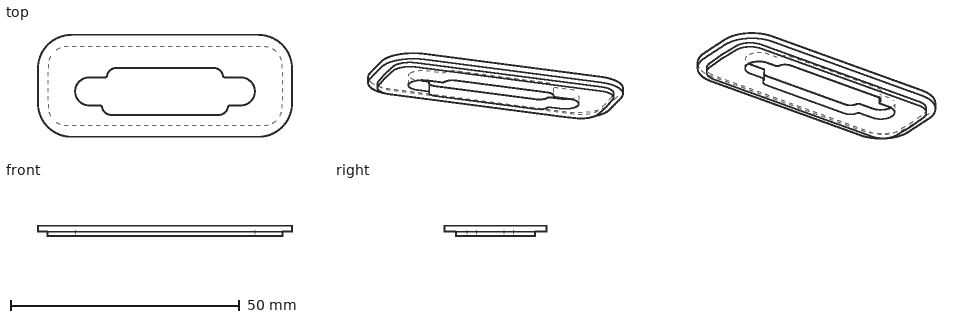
import cadquery as cq
import math

plate_length = 55.55
plate_width = 22.3
plate_thickness = 1.35
plate_corner_radius = 7.4

lip_length = 51.3
lip_width = 17.3
lip_height = 1.0
lip_corner_radius = 4.0
lip_tip_width = 0.5
lip_end_slope = 2.3

window_center_y = -1.2
slot_length = 39.2
slot_width = 6.05
shell_top_width = 24.65
shell_height = 10.2
shell_side_slope = 10.0
shell_corner_radius = 2.0
junction_radius = 0.5

total_height = lip_height + plate_thickness


def make_plate():
    return (
        cq.Workplane("XY")
        .workplane(offset=lip_height)
        .rect(plate_length, plate_width)
        .extrude(plate_thickness)
        .edges("|Z")
        .fillet(plate_corner_radius)
    )


def make_lip():
    tip_x = lip_length / 2
    tip_y = lip_tip_width / 2
    corner_y = lip_width / 2
    corner_x = tip_x - (corner_y - tip_y) * math.tan(math.radians(lip_end_slope))
    outline = [
        (-corner_x, -corner_y),
        (corner_x, -corner_y),
        (tip_x, -tip_y),
        (tip_x, tip_y),
        (corner_x, corner_y),
        (-corner_x, corner_y),
        (-tip_x, tip_y),
        (-tip_x, -tip_y),
    ]
    lip = cq.Workplane("XY").polyline(outline).close().extrude(lip_height)
    return lip.faces("<Y or >Y").edges("|Z").fillet(lip_corner_radius)


def make_window():
    """D-shaped opening, wider at the bottom, crossed by a longer round-ended slot."""
    slope = math.tan(math.radians(shell_side_slope))
    top_x = shell_top_width / 2
    bottom_x = top_x + shell_height * slope
    half_height = shell_height / 2
    base = cq.Workplane("XY").center(0, window_center_y)
    shell = (
        base.polyline(
            [
                (-bottom_x, -half_height),
                (bottom_x, -half_height),
                (top_x, half_height),
                (-top_x, half_height),
            ]
        )
        .close()
        .extrude(total_height)
        .edges("|Z")
        .fillet(shell_corner_radius)
    )
    slot = base.slot2D(slot_length, slot_width).extrude(total_height)

    junctions = cq.selectors.BoxSelector(
        (-bottom_x, window_center_y - slot_width / 2 - junction_radius, 0),
        (bottom_x, window_center_y + slot_width / 2 + junction_radius, total_height),
    )
    return shell.union(slot).edges("|Z").edges(junctions).fillet(junction_radius)


result = make_plate().union(make_lip()).cut(make_window())